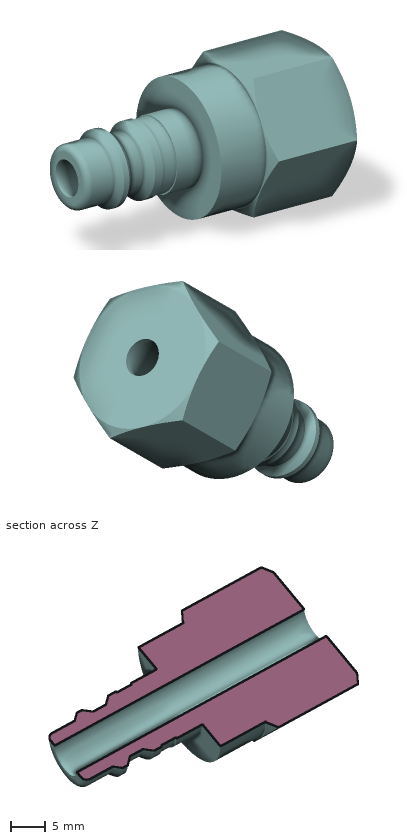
import cadquery as cq
import math

total_length = 44.0
hex_across_flats = 22.0
hex_start = 28.0
hex_chamfer_angle = 30.0
collar_radius = 10.8
collar_start = 20.0
bore_radius = 2.85

land_radius = 6.05
relief_radius = 5.8
groove_radius = 4.9
tip_radius = 5.0
tip_fillet = 0.95

front_land_cone_start = 4.95
front_land_start = 6.0
front_land_end = 6.9
groove_start = 8.1
groove_end = 10.35
rear_land_start = 11.55
rear_land_end = 12.95
relief_end = 15.5

hex_length = total_length - hex_start
hex_corner_radius = hex_across_flats / math.sqrt(3)
chamfer_circle_radius = hex_across_flats / 2
chamfer_length = (hex_corner_radius - chamfer_circle_radius) * math.tan(math.radians(hex_chamfer_angle))


def revolve_about_y(profile):
    """Close a (radius, y) half section and turn it fully about the Y axis."""
    return profile.close().revolve(360, (0, 0, 0), (0, 1, 0))


def make_hex_nut():
    """Hexagon with corners on the X axis and both ends turned down at the corners."""
    prism = (
        cq.Workplane("XZ", origin=(0, total_length, 0))
        .polygon(6, 2 * hex_corner_radius)
        .extrude(hex_length)
    )
    turned_envelope = revolve_about_y(
        cq.Workplane("XY").polyline([
            (0, hex_start),
            (chamfer_circle_radius, hex_start),
            (hex_corner_radius, hex_start + chamfer_length),
            (hex_corner_radius, total_length - chamfer_length),
            (chamfer_circle_radius, total_length),
            (0, total_length),
        ])
    )
    return prism.intersect(turned_envelope)


def make_plug():
    """Collar and stepped stem with two lands and a rounded tip."""
    fillet_start_radius = tip_radius - tip_fillet
    fillet_mid_offset = tip_fillet * math.sin(math.radians(45))
    return revolve_about_y(
        cq.Workplane("XY")
        .moveTo(0, 0)
        .lineTo(fillet_start_radius, 0)
        .threePointArc(
            (fillet_start_radius + fillet_mid_offset, tip_fillet - fillet_mid_offset),
            (tip_radius, tip_fillet),
        )
        .lineTo(tip_radius, front_land_cone_start)
        .lineTo(land_radius, front_land_start)
        .lineTo(land_radius, front_land_end)
        .lineTo(groove_radius, groove_start)
        .lineTo(groove_radius, groove_end)
        .lineTo(land_radius, rear_land_start)
        .lineTo(land_radius, rear_land_end)
        .lineTo(relief_radius, rear_land_end)
        .lineTo(relief_radius, relief_end)
        .lineTo(land_radius, relief_end)
        .lineTo(land_radius, collar_start)
        .lineTo(collar_radius, collar_start)
        .lineTo(collar_radius, hex_start)
        .lineTo(0, hex_start)
    )


def make_bore():
    """Straight passage through the whole length."""
    return cq.Workplane("XZ", origin=(0, total_length, 0)).circle(bore_radius).extrude(total_length)


result = make_hex_nut().union(make_plug()).cut(make_bore())